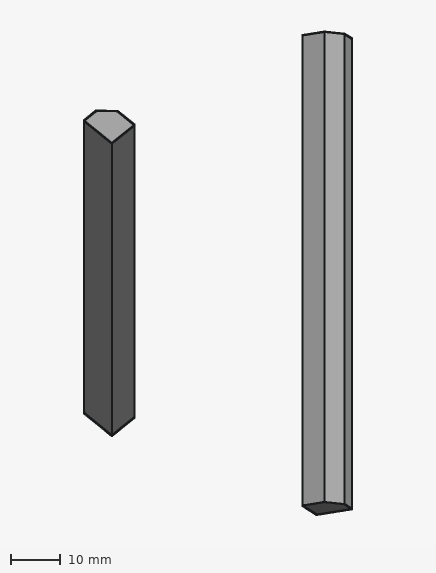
import cadquery as cq

width = 8.0
depth = 6.5
length = 100.0

chamfer = 3.0

profile = [
    (0, 0),
    (width, 0),
    (width, depth),
    (chamfer, depth),
    (0, depth - chamfer),
]

result = cq.Workplane("XY").polyline(profile).close().extrude(length)